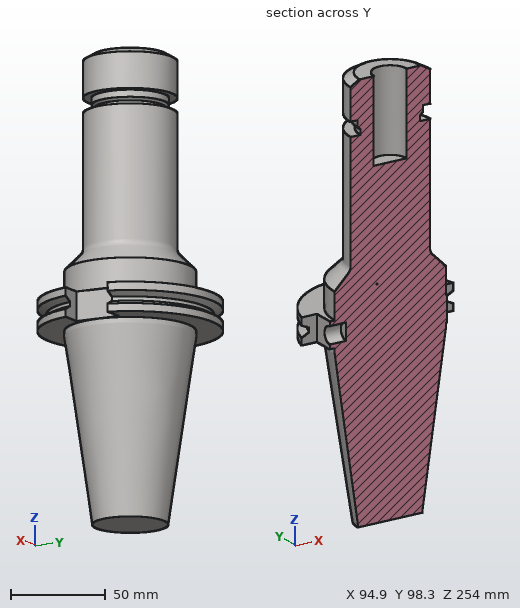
import cadquery as cq
import math

total_height = 254.0
taper_height = 101.5
flange_bottom = taper_height + 3.0
flange_top = taper_height + 19.0

taper_ratio = 7 / 24
gauge_radius = 69.8 / 2
taper_small_radius = gauge_radius - taper_height * taper_ratio / 2

flange_radius = 98.3 / 2
groove_radius = 44.5
groove_center = 112.5
groove_floor_width = 2.3
groove_mouth_width = 7.0

slot_width = 25.5
slot_floor_left = 37.8
slot_floor_right = 35.5
slot_hole_diameter = 10.2
slot_hole_depth = 10.2

shoulder_top = 137.0
shank_radius = 50.0 / 2
shank_top = 222.5
blend_radius = 5.0
blend_angle = math.radians(45)

neck_radius = 18.8
neck_cone_bottom = 225.5
collar_radius = 20.5
collar_bottom = 227.0
nut_bottom = 231.0
nut_radius = shank_radius
nut_face_radius = 19.3
nut_chamfer_height = (nut_radius - nut_face_radius) * math.tan(math.radians(30))
bore_diameter = 20.3
bore_depth = 50.8


def make_body():
    """Revolve the half profile of the holder around Z."""
    cone_top_radius = shank_radius + blend_radius * (1 - math.cos(blend_angle))
    cone_top = shoulder_top + gauge_radius - cone_top_radius
    blend_top = cone_top + blend_radius * math.sin(blend_angle)
    blend_mid = (
        shank_radius + blend_radius * (1 - math.cos(blend_angle / 2)),
        blend_top - blend_radius * math.sin(blend_angle / 2),
    )
    profile = (
        cq.Workplane("XZ")
        .lineTo(taper_small_radius, 0)
        .lineTo(gauge_radius, taper_height)
        .lineTo(gauge_radius, flange_bottom)
        .lineTo(flange_radius, flange_bottom)
        .lineTo(flange_radius, groove_center - groove_mouth_width / 2)
        .lineTo(groove_radius, groove_center - groove_floor_width / 2)
        .lineTo(groove_radius, groove_center + groove_floor_width / 2)
        .lineTo(flange_radius, groove_center + groove_mouth_width / 2)
        .lineTo(flange_radius, flange_top)
        .lineTo(gauge_radius, flange_top)
        .lineTo(gauge_radius, shoulder_top)
        .lineTo(cone_top_radius, cone_top)
        .threePointArc(blend_mid, (shank_radius, blend_top))
        .lineTo(shank_radius, shank_top)
        .lineTo(neck_radius, shank_top)
        .lineTo(neck_radius, neck_cone_bottom)
        .lineTo(collar_radius, collar_bottom)
        .lineTo(collar_radius, nut_bottom)
        .lineTo(nut_radius, nut_bottom)
        .lineTo(nut_radius, total_height - nut_chamfer_height)
        .lineTo(nut_face_radius, total_height)
        .lineTo(0, total_height)
        .close()
    )
    return profile.revolve(360, (0, 0, 0), (0, 1, 0))


def make_drive_slot(side, floor):
    """Block that clears a slot outward from the floor; side is -1 or +1 along X."""
    return (
        cq.Workplane("XY")
        .workplane(offset=flange_bottom)
        .center(side * (floor + flange_radius / 2), 0)
        .rect(flange_radius, slot_width)
        .extrude(flange_top - flange_bottom)
    )


def make_slot_hole():
    """Blind radial hole in the floor of the -X slot."""
    return (
        cq.Workplane("YZ", origin=(-slot_floor_left, 0, (flange_bottom + flange_top) / 2))
        .circle(slot_hole_diameter / 2)
        .extrude(slot_hole_depth)
    )


def make_bore():
    """Blind tool bore, open at the nut face."""
    return (
        cq.Workplane("XY", origin=(0, 0, total_height))
        .circle(bore_diameter / 2)
        .extrude(-bore_depth)
    )


result = (
    make_body()
    .cut(make_drive_slot(-1, slot_floor_left))
    .cut(make_drive_slot(1, slot_floor_right))
    .cut(make_slot_hole())
    .cut(make_bore())
)